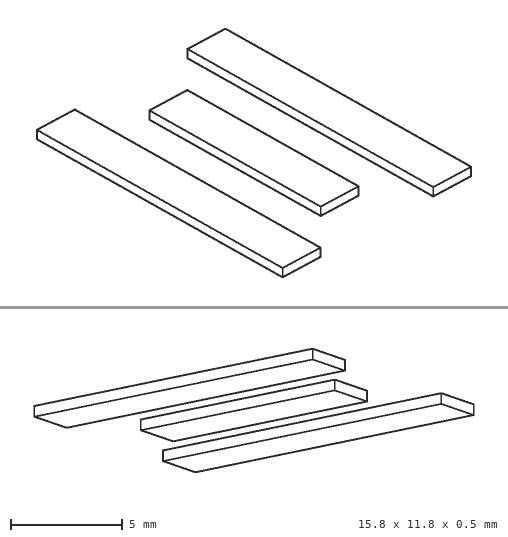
import cadquery as cq

outer_length = 15.78
inner_length = 11.0
total_width = 11.84
strip_width = 2.38
thickness = 0.5

outer_offset = (total_width - strip_width) / 2


def strip(length, y_center):
    """Flat rectangular strip along X, centred on Z = 0."""
    return cq.Workplane("XY").box(length, strip_width, thickness).translate((0, y_center, 0))


outer_strips = []
for side in (-1, 1):
    outer_strips.append(strip(outer_length, side * outer_offset).val())

inner_strip = strip(inner_length, 0).val()

result = cq.Compound.makeCompound([*outer_strips, inner_strip])